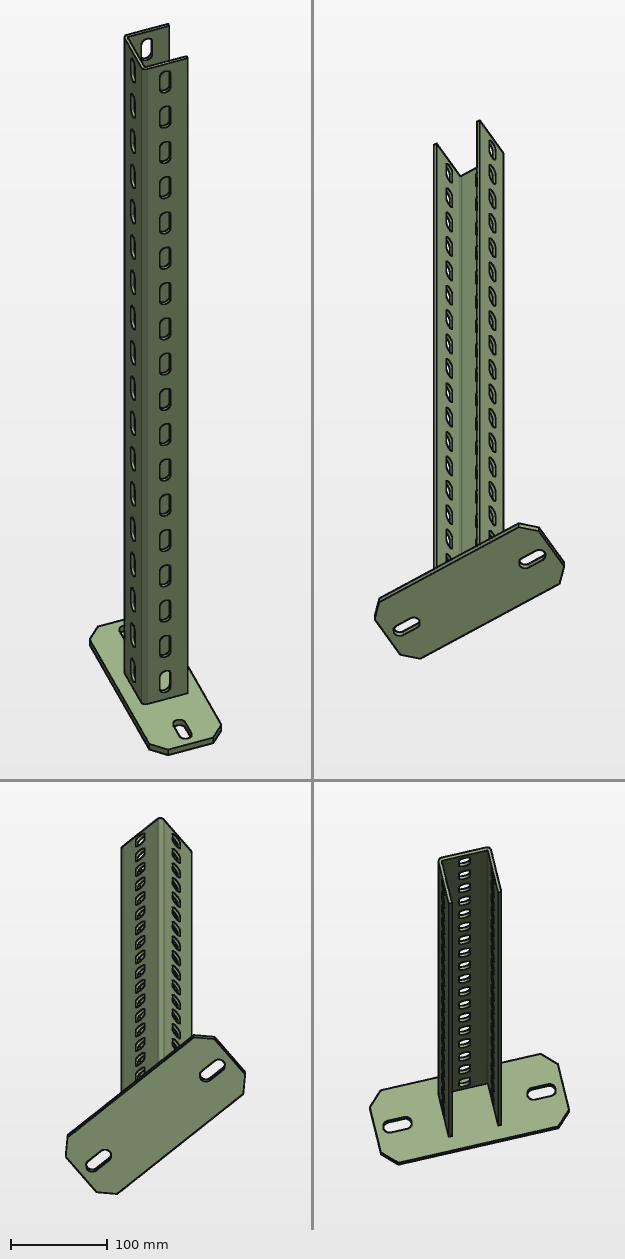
import cadquery as cq

plate_length = 200.0
plate_width = 80.0
plate_thickness = 8.0
corner_chamfer = 15.0
plate_slot_offset = 76.5
plate_slot_length = 30.0
plate_slot_width = 13.0

channel_width = 56.0
channel_depth = 50.0
channel_height = 900.0
sheet_thickness = 3.5
outer_bend_radius = 4.5
inner_bend_radius = outer_bend_radius - sheet_thickness

slot_length = 30.0
slot_width = 12.0
slot_pitch = 50.0
slot_count = round(channel_height / slot_pitch)


def make_base_plate():
    """Rectangular plate with chamfered corners and a fixing slot near each end."""
    return (
        cq.Workplane("XY")
        .rect(plate_length, plate_width)
        .extrude(plate_thickness)
        .edges("|Z")
        .chamfer(corner_chamfer)
        .faces(">Z")
        .workplane(origin=(0, 0, plate_thickness))
        .pushPoints([(-plate_slot_offset, 0), (plate_slot_offset, 0)])
        .slot2D(plate_slot_length, plate_slot_width)
        .cutThruAll()
    )


def make_channel_body():
    """U-shaped sheet with rounded bends between the web and the two flanges."""
    outer = (
        cq.Workplane("XY", origin=(0, 0, plate_thickness))
        .rect(channel_width, channel_depth)
        .extrude(channel_height)
        .edges("|Z and <Y")
        .fillet(outer_bend_radius)
    )
    hollow = (
        cq.Workplane("XY", origin=(0, sheet_thickness, plate_thickness))
        .rect(channel_width - 2 * sheet_thickness, channel_depth)
        .extrude(channel_height)
        .edges("|Z and <Y")
        .fillet(inner_bend_radius)
    )
    return outer.cut(hollow)


def make_upright():
    """Channel with a column of vertical slots at the middle of each wall."""
    first_slot_height = plate_thickness + slot_pitch / 2
    slot_centres = [(0, first_slot_height + i * slot_pitch) for i in range(slot_count)]

    web_slots = (
        cq.Workplane("XZ")
        .pushPoints(slot_centres)
        .slot2D(slot_length, slot_width, 90)
        .extrude(channel_depth)
    )
    flange_slots = (
        cq.Workplane("YZ")
        .pushPoints(slot_centres)
        .slot2D(slot_length, slot_width, 90)
        .extrude(channel_width, both=True)
    )
    return make_channel_body().cut(web_slots).cut(flange_slots)


base_plate = make_base_plate()
upright = make_upright()

result = cq.Compound.makeCompound([base_plate.val(), upright.val()])